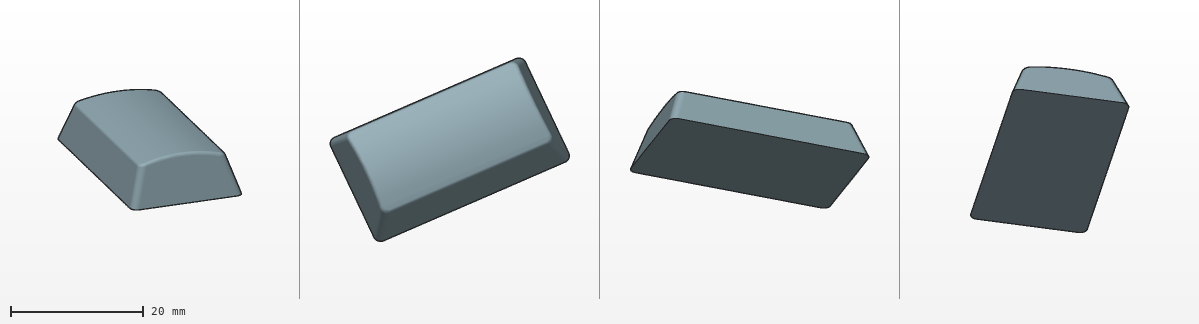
import cadquery as cq

LENGTH = 32.3
WIDTH = 18.0
HEIGHT = 7.2

WALL_DRAFT = 18.0
CROWN_RADIUS = 23.9
CORNER_RADIUS = 1.2
RIM_RADIUS = 0.6


def tapered_block():
    """Plain block with leaning walls, exactly as tall as the crown's peak."""
    return cq.Workplane("XY").rect(LENGTH, WIDTH).extrude(HEIGHT, taper=WALL_DRAFT)


def crown_cylinder():
    """Long cylinder along X whose highest line touches the peak height."""
    return (
        cq.Workplane("YZ")
        .center(0, HEIGHT - CROWN_RADIUS)
        .circle(CROWN_RADIUS)
        .extrude(LENGTH / 2, both=True)
    )


def sloping_corners(body):
    """Select the four straight edges where neighbouring walls meet."""
    return body.edges("not(#Z or |X or |Y)").edges("%LINE")


body = tapered_block()
body = sloping_corners(body).fillet(CORNER_RADIUS)
body = body.intersect(crown_cylinder())

result = body.faces(">Z").edges().fillet(RIM_RADIUS)